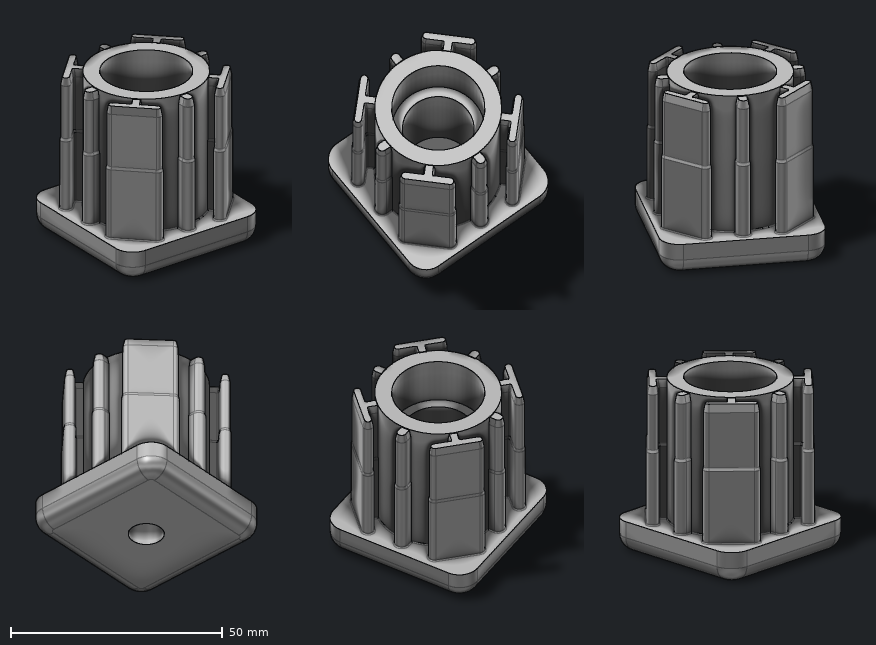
import cadquery as cq
import math

plate_side = 40.0
plate_height = 8.0
plate_corner_radius = 5.0
plate_edge_radius = plate_height / 2

total_height = 43.0
tube_diameter = 30.0
bore_diameter = 22.0
bore_depth = 12.0
inner_bore_diameter = 17.0
inner_bore_floor = plate_height
hole_diameter = 8.5

foot_embed = 0.45
foot_bottom = plate_height - foot_embed
step_bottom = 26.2
step_top = 26.9
tip_bottom = 40.75
rib_top = 42.8
foot_growth = 0.2
tip_inset = 0.4
root_fillet = 0.3

rib_root = (tube_diameter + bore_diameter) / 4
rib_width = 3.0
rib_reach = 18.1
bar_width = 2.5
bar_distance = 18.4
bar_length = 13.25
web_width = 2.65
web_corner_radius = 0.45

ribs_per_kind = 4
rib_pitch = 360 / ribs_per_kind


def straight_section(level, growth):
    """Round-nosed outline along +X that starts inside the tube wall."""
    half_width = rib_width / 2 + growth
    nose_center = rib_reach - rib_width / 2
    return (
        cq.Workplane("XY", origin=(0, 0, level))
        .moveTo(rib_root, -half_width)
        .lineTo(nose_center, -half_width)
        .threePointArc((nose_center + half_width, 0), (nose_center, half_width))
        .lineTo(rib_root, half_width)
        .close()
        .val()
    )


def t_section(level, growth):
    """T outline: a web along +X that carries a round-ended crossbar."""
    half_web = web_width / 2 + growth
    half_bar = bar_width / 2 + growth
    end_center = (bar_length - bar_width) / 2
    inner_face = bar_distance - half_bar
    outer_face = bar_distance + half_bar
    end_tip = end_center + half_bar
    corner_x = inner_face - web_corner_radius
    corner_y = half_web + web_corner_radius
    corner_sag = web_corner_radius * math.sqrt(0.5)
    corner_mid_x = corner_x + corner_sag
    corner_mid_y = corner_y - corner_sag
    return (
        cq.Workplane("XY", origin=(0, 0, level))
        .moveTo(rib_root, -half_web)
        .lineTo(corner_x, -half_web)
        .threePointArc((corner_mid_x, -corner_mid_y), (inner_face, -corner_y))
        .lineTo(inner_face, -end_center)
        .threePointArc((bar_distance, -end_tip), (outer_face, -end_center))
        .lineTo(outer_face, end_center)
        .threePointArc((bar_distance, end_tip), (inner_face, end_center))
        .lineTo(inner_face, corner_y)
        .threePointArc((corner_mid_x, corner_mid_y), (corner_x, half_web))
        .lineTo(rib_root, half_web)
        .close()
        .val()
    )


def stepped_rib(section):
    """Stack the foot, step, shank and tip of one rib section."""
    stations = [
        section(foot_bottom, foot_growth),
        section(step_bottom, foot_growth),
        section(step_top, 0),
        section(tip_bottom, 0),
        section(rib_top, -tip_inset),
    ]
    rib = cq.Workplane("XY")
    for lower, upper in zip(stations, stations[1:]):
        rib = rib.add(cq.Solid.makeLoft([lower, upper], True))
    return rib.combine()


def add_ribs(body, rib, first_angle):
    for index in range(ribs_per_kind):
        angle = first_angle + index * rib_pitch
        body = body.union(rib.rotate((0, 0, 0), (0, 0, 1), angle))
    return body


def round_rib_roots(body):
    """Fillet the closed line where the tube and ribs stand on the plate."""
    zone_margin = 0.05
    just_below = plate_height - zone_margin
    just_above = plate_height + zone_margin
    plate_top_zone = cq.selectors.BoxSelector(
        (-plate_side, -plate_side, just_below), (plate_side, plate_side, just_above)
    )
    root_line = body.faces(plate_top_zone).val().innerWires()[0]
    return body.newObject(root_line.Edges()).fillet(root_fillet)


def cut_bore(body, diameter, floor):
    bore = cq.Workplane("XY").circle(diameter / 2).extrude(total_height)
    return body.cut(bore.translate((0, 0, floor)))


plate = (
    cq.Workplane("XY")
    .rect(plate_side, plate_side)
    .extrude(plate_height)
    .edges("|Z")
    .fillet(plate_corner_radius)
    .faces("<Z")
    .edges()
    .fillet(plate_edge_radius)
)
tube = plate.faces(">Z").workplane().circle(tube_diameter / 2).extrude(total_height - plate_height)

ribbed = add_ribs(tube, stepped_rib(straight_section), 0)
ribbed = add_ribs(ribbed, stepped_rib(t_section), rib_pitch / 2)
result = round_rib_roots(ribbed)

result = cut_bore(result, hole_diameter, 0)
result = cut_bore(result, inner_bore_diameter, inner_bore_floor)
result = cut_bore(result, bore_diameter, total_height - bore_depth)